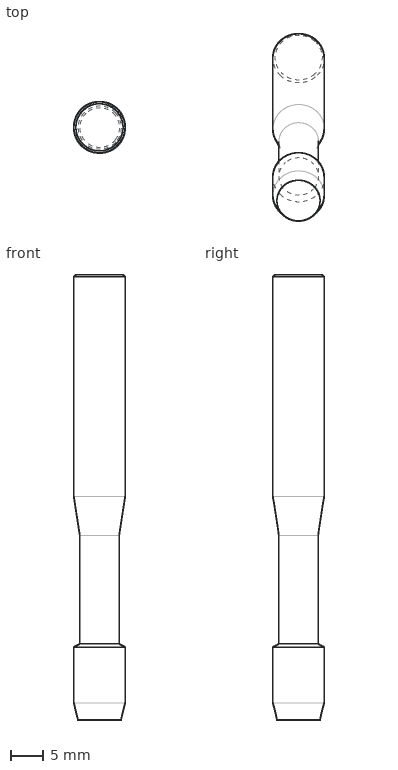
import cadquery as cq

total_length = 69.1
body_diameter = 8.0
neck_diameter = 6.15

tip_diameter = 6.7
tip_height = 2.7
head_height = 11.8
head_shoulder_height = 0.5

neck_length = 16.85
taper_length = 6.0
shank_chamfer = 0.35

body_radius = body_diameter / 2
neck_radius = neck_diameter / 2
tip_radius = tip_diameter / 2
shoulder_bottom = head_height - head_shoulder_height
neck_top = head_height + neck_length
taper_top = neck_top + taper_length


def turned_body(profile):
    """Revolve a closed (radius, height) outline about the Z axis."""
    return cq.Workplane("XZ").polyline(profile).close().revolve(360, (0, 0), (0, 1))


def make_head():
    """Cylindrical head with a tapered tip and a conical shoulder."""
    return turned_body([
        (0, 0),
        (tip_radius, 0),
        (body_radius, tip_height),
        (body_radius, shoulder_bottom),
        (neck_radius, head_height),
        (0, head_height),
    ])


def make_shank():
    """Slim neck that tapers out to the full shank, chamfered at its top end."""
    shank = turned_body([
        (0, head_height),
        (neck_radius, head_height),
        (neck_radius, neck_top),
        (body_radius, taper_top),
        (body_radius, total_length),
        (0, total_length),
    ])
    return shank.faces(">Z").chamfer(shank_chamfer)


head = make_head()
shank = make_shank()

result = cq.Compound.makeCompound([head.val(), shank.val()])